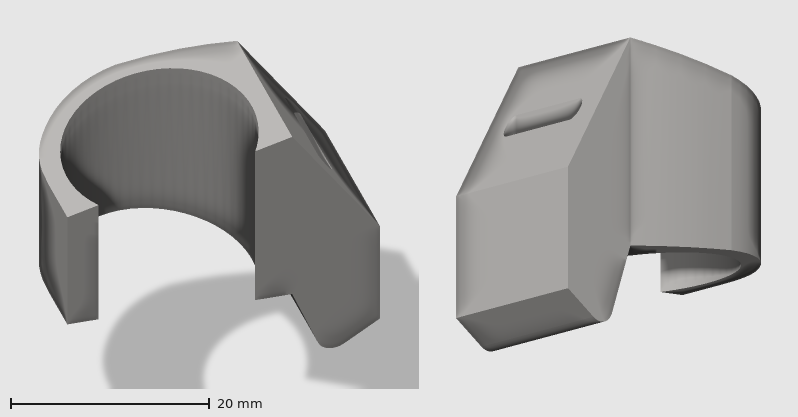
import cadquery as cq
import math

bore_radius = 10.0
outer_radius = 12.0
lower_jaw_end_x = 5.05
front_curve_reach = 12.15
ring_front_height = 15.0
ring_back_height = 22.0

block_width = 15.0
block_right_x = 6.0
block_left_x = block_right_x - block_width
block_front_y = outer_radius
block_back_y = 33.55 - outer_radius
back_face_top_z = -4.95
back_face_bottom_z = -17.8
toe_y = 15.6
toe_z = -21.0
toe_radius = 2.0

side_bulge = 0.47

slot_length = 10.0
slot_width = 1.58
slot_centre_y = 16.8
slot_wall_run = 0.27
slot_bend_run = 0.55

ring_top_z = ring_back_height / 2
ring_front_top_z = ring_front_height / 2


def make_ring():
    """C-shaped plan, trimmed to a height that tapers towards the front."""
    diagonal = outer_radius * math.sqrt(0.5)
    sin_eighth = math.sin(math.pi / 8)
    cos_eighth = math.cos(math.pi / 8)
    side_dx = block_left_x + outer_radius
    side_length = math.hypot(side_dx, block_front_y)
    bulge_point = (
        (block_left_x - outer_radius) / 2 - side_bulge * block_front_y / side_length,
        block_front_y / 2 + side_bulge * side_dx / side_length,
    )
    jaw_tip_y = -math.sqrt(bore_radius**2 - lower_jaw_end_x**2)
    upper_tip_y = math.sqrt(bore_radius**2 - block_right_x**2)
    plan = (
        cq.Workplane("XY", origin=(0, 0, -ring_top_z))
        .moveTo(block_right_x, block_front_y)
        .lineTo(block_left_x, block_front_y)
        .threePointArc(bulge_point, (-outer_radius, 0))
        .threePointArc((-outer_radius * cos_eighth, -outer_radius * sin_eighth), (-diagonal, -diagonal))
        .spline(
            [(-front_curve_reach * sin_eighth, -front_curve_reach * cos_eighth), (0, -outer_radius)],
            tangents=[(1, -1), (1, 0)],
            includeCurrent=True,
        )
        .lineTo(lower_jaw_end_x, -outer_radius)
        .lineTo(lower_jaw_end_x, jaw_tip_y)
        .threePointArc((-bore_radius, 0), (block_right_x, upper_tip_y))
        .close()
        .extrude(ring_back_height)
    )
    taper = (
        cq.Workplane("YZ", origin=(-outer_radius, 0, 0))
        .polyline([
            (block_front_y, ring_top_z),
            (-outer_radius, ring_front_top_z),
            (-outer_radius, -ring_front_top_z),
            (block_front_y, -ring_top_z),
        ])
        .close()
        .extrude(outer_radius + block_right_x)
    )
    return plan.intersect(taper)


def make_block():
    """Side profile of the block with its rounded toe."""
    return (
        cq.Workplane("YZ", origin=(block_left_x, 0, 0))
        .polyline([
            (block_front_y, ring_top_z),
            (block_back_y, back_face_top_z),
            (block_back_y, back_face_bottom_z),
            (toe_y, toe_z),
            (block_front_y, -ring_top_z),
        ])
        .close()
        .extrude(block_width)
        .edges(cq.selectors.NearestToPointSelector((block_left_x + block_width / 2, toe_y, toe_z)))
        .fillet(toe_radius)
    )


def make_slot_cutter():
    """Round-ended slot; its back wall is square to the slope and bends into a floor along the ring's tilt."""
    slope = (ring_top_z - back_face_top_z) / (block_back_y - block_front_y)
    back_y = slot_centre_y + slot_width / 2
    front_y = slot_centre_y - slot_width / 2
    lip_z = ring_top_z - slope * (back_y - block_front_y)
    wall_fall_angle = math.atan(1 / slope)
    floor_fall_angle = math.atan((ring_top_z - ring_front_top_z) / (block_front_y + outer_radius))
    bend_start_y = back_y - slot_wall_run
    bend_start_z = lip_z - slot_wall_run * math.tan(wall_fall_angle)
    bend_end_y = bend_start_y - slot_bend_run
    bend_end_z = bend_start_z - slot_bend_run * math.tan((wall_fall_angle + floor_fall_angle) / 2)
    floor_front_z = bend_end_z - (bend_end_y - front_y) * math.tan(floor_fall_angle)
    slot_left_x = block_left_x + (block_width - slot_length) / 2
    depth_profile = (
        cq.Workplane("YZ", origin=(slot_left_x, 0, 0))
        .moveTo(back_y, ring_top_z)
        .lineTo(back_y, lip_z)
        .lineTo(bend_start_y, bend_start_z)
        .tangentArcPoint((bend_end_y, bend_end_z), relative=False)
        .lineTo(front_y, floor_front_z)
        .lineTo(front_y, ring_top_z)
        .close()
        .extrude(slot_length)
    )
    upright_slot = (
        cq.Workplane("XY", origin=(slot_left_x + slot_length / 2, slot_centre_y, -ring_top_z))
        .slot2D(slot_length, slot_width)
        .extrude(ring_back_height)
    )
    return upright_slot.intersect(depth_profile)


result = make_ring().union(make_block()).cut(make_slot_cutter())